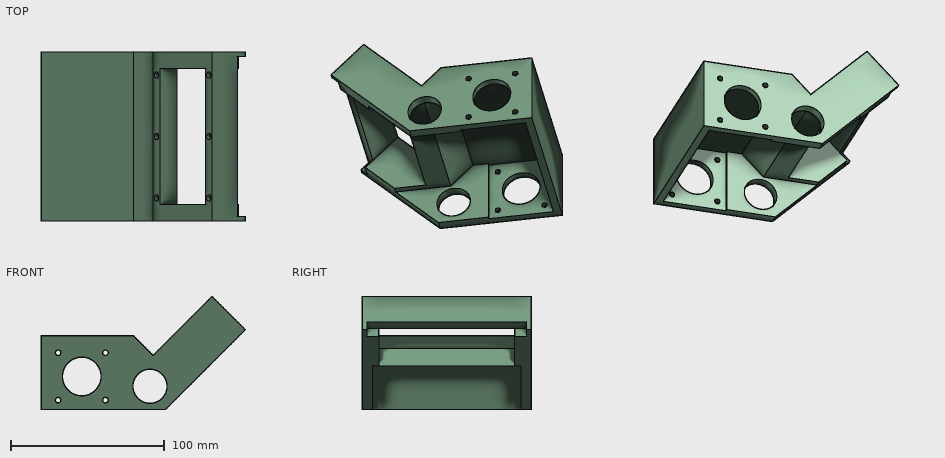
import cadquery as cq
import math

length = 132.9
width = 110.0
height = 73.6
base_height = 48.1
base_top_length = 60.1
tip_drop = 21.7
diagonal = math.sqrt(2)
arm_depth = tip_drop * diagonal

wall = 5.0
rear_wall = 6.8
base_ceiling = 28.3

window_side_margin = 10.9
window_end_margin = 6.1
cut_extra = 26.6

cheek = 3.0
recess_depth = 7.2

large_hole_diameter = 25.0
large_hole = (26.5, 21.5)
mount_hole_diameter = 3.5
mount_hole_spacing = 30.8
small_port_diameter = 22.0
small_port = (70.8, 15.2)

screw_diameter = 4.0
screw_depth = 8.0
screw_end_margin = 3.0
screw_pitch = 40.0

tip = (length, height - tip_drop)
peak = (length - tip_drop, height)
rear_foot = (length - tip[1], 0)
slope_sum = base_top_length + base_height
window_face_offset = peak[0] - peak[1]
notch = ((slope_sum + window_face_offset) / 2, (slope_sum - window_face_offset) / 2)
arm_length = (peak[0] - notch[0]) * diagonal


def prism(points, y_margin):
    """Extrude an XZ outline across the width, leaving y_margin at both sides."""
    outline = cq.Workplane("XZ", origin=(0, y_margin, 0)).polyline(points).close()
    return outline.extrude(-(width - 2 * y_margin))


def arm_point(along, deep):
    """Point (x, z) along the arm from the notch and deep behind its window face."""
    return (notch[0] + (along + deep) / diagonal, notch[1] + (along - deep) / diagonal)


def arm_block(start, end, front, back, y_margin):
    """Box aligned with the arm."""
    corners = [(start, front), (end, front), (end, back), (start, back)]
    return prism([arm_point(along, deep) for along, deep in corners], y_margin)


def side_holes(points, diameter):
    """Cylinders along Y through both side walls."""
    return cq.Workplane("XZ").pushPoints(points).circle(diameter / 2).extrude(-width)


def front_cavity():
    """Compartment with equal margins on both sides of the large holes."""
    far_end = 2 * large_hole[0] - wall
    inner_top = base_height - wall
    return prism([(wall, 0), (wall, inner_top), (far_end, inner_top), (far_end, 0)], wall)


def rear_cavity():
    """Narrower compartment that follows the upper slope and opens through the rear."""
    inner_top = base_height - wall
    inner_slope_sum = slope_sum - wall * diagonal
    return prism(
        [
            (large_hole[0], 0),
            (large_hole[0], inner_top),
            (inner_slope_sum - inner_top, inner_top),
            (inner_slope_sum - base_ceiling, base_ceiling),
            (rear_foot[0] + base_ceiling, base_ceiling),
            rear_foot,
        ],
        rear_wall,
    )


def screw_holes():
    x, z = arm_point(arm_length / 2, 0)
    face = cq.Plane(origin=(x, width / 2, z), xDir=(1, 0, 1), normal=(-1, 0, 1))
    reach = arm_length / 2 - screw_end_margin
    points = [(u, row * screw_pitch) for u in (-reach, reach) for row in (-1, 0, 1)]
    return cq.Workplane(face).pushPoints(points).circle(screw_diameter / 2).extrude(-screw_depth)


body = prism(
    [(0, 0), (0, base_height), (base_top_length, base_height), notch, peak, tip, rear_foot], 0
)
window_end = arm_length - window_end_margin
window = arm_block(window_end_margin, window_end, 0, arm_depth + cut_extra, window_side_margin)
end_recess = arm_block(window_end, arm_length, arm_depth - recess_depth, arm_depth, cheek)

half_spacing = mount_hole_spacing / 2
mount_holes = [
    (large_hole[0] + i * half_spacing, large_hole[1] + k * half_spacing)
    for i in (-1, 1)
    for k in (-1, 1)
]

result = (
    body.cut(front_cavity())
    .cut(rear_cavity())
    .cut(window)
    .cut(end_recess)
    .cut(side_holes([large_hole], large_hole_diameter))
    .cut(side_holes([small_port], small_port_diameter))
    .cut(side_holes(mount_holes, mount_hole_diameter))
    .cut(screw_holes())
)